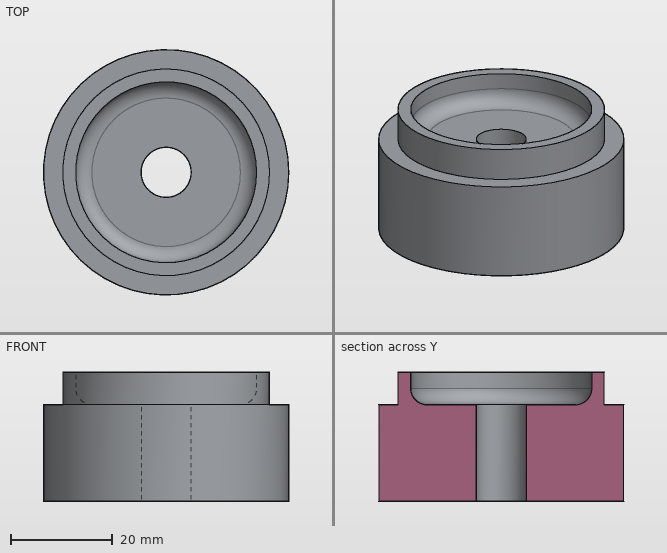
import cadquery as cq

body_diameter = 48.25
rim_diameter = 40.65
total_height = 25.4
rim_height = 6.35
shoulder_z = total_height - rim_height

dish_diameter = 35.55
dish_depth = rim_height
dish_floor_z = total_height - dish_depth
dish_corner_radius = dish_depth / 2

bore_diameter = 9.8


def cylinder(diameter, base_z, height):
    """Upright cylinder centred on the Z axis."""
    return cq.Workplane("XY").workplane(offset=base_z).circle(diameter / 2).extrude(height)


def stepped_body():
    """Wide base with the narrower rim standing on it."""
    base = cylinder(body_diameter, 0, shoulder_z)
    rim = cylinder(rim_diameter, shoulder_z, rim_height)
    return base.union(rim)


def dish():
    """Dish volume with a rounded corner between wall and floor."""
    return cylinder(dish_diameter, dish_floor_z, dish_depth).faces("<Z").edges().fillet(dish_corner_radius)


bore = cylinder(bore_diameter, 0, total_height)

result = stepped_body().cut(dish()).cut(bore)